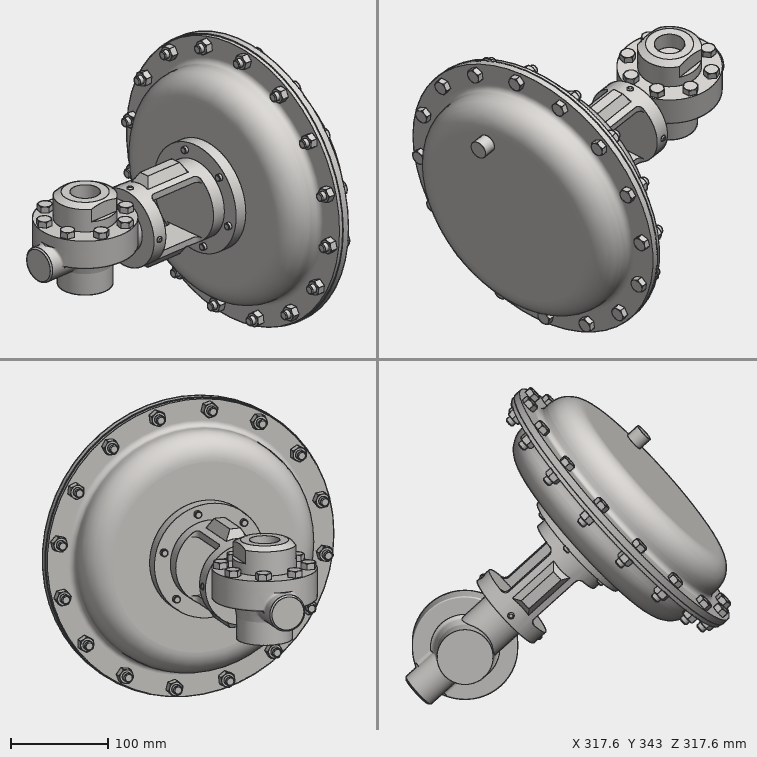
import cadquery as cq
import math


case_outer_end = 262.0
cover_flange_back = 222.5
gasket_back = 217.8
case_split = 215.0
case_flange_front = 210.5
case_inner_end = 170.5
dome_radius = 128.5
dome_round = 27.5
dome_root_round = 6.2
cover_flange_radius = 158.8
case_flange_radius = 157.8

case_bolt_count = 16
case_bolt_circle = 147.5
case_bolt_phase = 15.0
case_hex_flats = 14.5
case_head_turn = 22.5
case_nut_turn = -7.5
case_head_height = 7.0
case_nut_height = 8.2
stud_diameter = 9.5
stud_length = 6.2
stud_chamfer = 1.0
hex_chamfer = 1.0

air_stub_diameter = 19.2
air_stub_x = 28.5
air_stub_z = 84.5
air_stub_end = 276.5

plate_radius = 60.7
plate_front = 156.8
plate_screw_count = 6
plate_screw_circle = 52.5
plate_screw_phase = 45.0
plate_screw_diameter = 7.5
plate_screw_height = 4.0
plate_screw_chamfer = 0.7

yoke_radius = 43.2
yoke_front = 56.5
window_back = 141.3
window_front = 73.5
window_half_height = 31.2
leg_width = 38.8
leg_round = 6.0
rib_tip_z = 52.5
rib_tip_width = 11.5
rib_tip_length = 45.0
rib_height = 13.7
rib_draft = 30.0
rib_y = 106.5
collar_screw_count = 4
collar_screw_y = 64.0
collar_screw_diameter = 7.0
collar_screw_protrusion = 1.7
collar_screw_chamfer = 1.5

body_radius = 54.2
body_split_z = 19.2
body_bottom_round = 1.5
neck_radius = 25.7
plug_radius = 19.2
plug_end = -66.5
plug_chamfer = 1.7
plug_root_round = 2.5
plug_web_round = 4.5
outlet_radius = 28.8
outlet_bottom_z = -43.0
taper_bottom_z = -19.0
taper_top_z = -4.8
taper_top_radius = 31.5
taper_root_radius = 35.7

bonnet_top_z = 32.0
cap_radius = 33.0
cap_top_z = 61.7
cap_chamfer_height = 4.0
cap_top_radius = 24.7
cap_flats = 55.5
cap_flat_bottom_z = 43.2
port_diameter = 31.2
port_depth = 18.0
bonnet_bolt_count = 8
bonnet_bolt_circle = 45.0
bonnet_hex_flats = 14.5
bonnet_hex_turn = 22.5
bonnet_head_height = 7.0


def y_disc(radius, y_start, y_end, x=0, z=0):
    """Cylinder along Y between two Y positions."""
    base = cq.Workplane("XZ", origin=(x, y_start, z))
    return base.circle(radius).extrude(y_start - y_end)


def z_disc(radius, z_start, z_end):
    """Cylinder on the valve axis between two heights."""
    return cq.Workplane("XY").workplane(offset=z_start).circle(radius).extrude(z_end - z_start)


def bolt_angles(count, phase):
    """Evenly spaced angles around a full circle, starting at the phase."""
    return [phase + i * 360 / count for i in range(count)]


def rounded_hex(flats, height):
    """Hexagon along Z with one corner on +X, its upper corners turned down to a cone."""
    corner_radius = flats / 2 / math.cos(math.pi / 6)
    blank = cq.Workplane("XY").circle(corner_radius).extrude(height)
    cone = blank.faces(">Z").chamfer(hex_chamfer, corner_radius - flats / 2)
    return cq.Workplane("XY").polygon(6, 2 * corner_radius).extrude(height).intersect(cone)


def pin(diameter, length, chamfer):
    """Round pin along Z with a chamfered tip, as on screws and stud ends."""
    return cq.Workplane("XY").circle(diameter / 2).extrude(length).faces(">Z").chamfer(chamfer)


def facing_front(shape, y):
    """Turn a shape from +Z to -Y and stand it at the given Y."""
    return shape.rotate((0, 0, 0), (1, 0, 0), 90).translate((0, y, 0))


def facing_back(shape, y):
    """Turn a shape from +Z to +Y and stand it at the given Y."""
    return shape.rotate((0, 0, 0), (1, 0, 0), -90).translate((0, y, 0))


def half_case(joint_y, flange_y, end_y, flange_radius):
    """Domed half of the casing, from its joint face through its flange to its flat end."""
    toward = math.copysign(1, end_y - flange_y)
    bulge = math.sqrt(0.5)
    root_y = flange_y + toward * dome_root_round
    root_mid = dome_root_round * (1 - bulge)
    crown_mid = dome_round * (1 - bulge)
    return (
        cq.Workplane("XY")
        .moveTo(0, joint_y)
        .lineTo(flange_radius, joint_y)
        .lineTo(flange_radius, flange_y)
        .lineTo(dome_radius + dome_root_round, flange_y)
        .threePointArc((dome_radius + root_mid, flange_y + toward * root_mid), (dome_radius, root_y))
        .lineTo(dome_radius, end_y - toward * dome_round)
        .threePointArc((dome_radius - crown_mid, end_y - toward * crown_mid), (dome_radius - dome_round, end_y))
        .lineTo(0, end_y)
        .close()
        .revolve(360, (0, 0, 0), (0, 1, 0))
    )


def casing():
    """Cover, gasket, inner case and air connection."""
    cover = half_case(gasket_back, cover_flange_back, case_outer_end, cover_flange_radius)
    gasket = y_disc(cover_flange_radius, gasket_back, case_split)
    case = half_case(case_split, case_flange_front, case_inner_end, case_flange_radius)
    air_stub = y_disc(air_stub_diameter / 2, case_outer_end, air_stub_end, air_stub_x, air_stub_z)
    return [cover, gasket, case, air_stub]


def casing_bolts():
    """Bolt heads on the cover flange, nuts and stud ends on the case flange."""
    head = rounded_hex(case_hex_flats, case_head_height).rotate((0, 0, 0), (0, 0, 1), -case_head_turn)
    nut = rounded_hex(case_hex_flats, case_nut_height).rotate((0, 0, 0), (0, 0, 1), case_nut_turn)
    nut = nut.union(pin(stud_diameter, case_nut_height + stud_length, stud_chamfer))
    pieces = [facing_back(head, cover_flange_back), facing_front(nut, case_flange_front)]
    return [
        piece.translate((case_bolt_circle, 0, 0)).rotate((0, 0, 0), (0, 1, 0), -angle)
        for angle in bolt_angles(case_bolt_count, case_bolt_phase)
        for piece in pieces
    ]


def mounting_plate():
    """Round plate on the front of the casing with its ring of screw ends."""
    plate = y_disc(plate_radius, case_inner_end, plate_front)
    one_screw = facing_front(pin(plate_screw_diameter, plate_screw_height, plate_screw_chamfer), plate_front)
    one_screw = one_screw.translate((plate_screw_circle, 0, 0))
    for angle in bolt_angles(plate_screw_count, plate_screw_phase):
        plate = plate.union(one_screw.rotate((0, 0, 0), (0, 1, 0), -angle))
    return plate


def yoke():
    """Barrel opened from the sides to leave two ribbed legs, with screws in the front collar."""
    barrel = y_disc(yoke_radius, plate_front, yoke_front)
    length = window_back - window_front
    middle_y = (window_back + window_front) / 2
    opening = cq.Workplane("XY").box(2 * yoke_radius, length, 2 * window_half_height)
    barrel = barrel.cut(opening.translate((0, middle_y, 0)))
    for side in (-1, 1):
        beside_leg = cq.Workplane("XY").box(yoke_radius, length, 2 * yoke_radius).edges("|Z").fillet(leg_round)
        barrel = barrel.cut(beside_leg.translate((side * (leg_width + yoke_radius) / 2, middle_y, 0)))

    rib_growth = 2 * rib_height * math.tan(math.radians(rib_draft))
    rib = (
        cq.Workplane("XY", origin=(0, rib_y, rib_tip_z))
        .rect(rib_tip_width, rib_tip_length)
        .workplane(offset=-rib_height)
        .rect(rib_tip_width + rib_growth, rib_tip_length + rib_growth)
        .loft(ruled=True)
    )
    screw_length = yoke_radius + collar_screw_protrusion - window_half_height
    collar_screw = pin(collar_screw_diameter, screw_length, collar_screw_chamfer)
    collar_screw = collar_screw.translate((0, collar_screw_y, window_half_height))
    for angle in (0, 180):
        barrel = barrel.union(rib.rotate((0, 0, 0), (0, 1, 0), angle))
    for angle in bolt_angles(collar_screw_count, 0):
        barrel = barrel.union(collar_screw.rotate((0, 0, 0), (0, 1, 0), angle))
    return barrel


def outlet():
    """Lower port, widening upward and flaring into the underside of the body."""
    return (
        cq.Workplane("XZ")
        .moveTo(0, outlet_bottom_z)
        .lineTo(outlet_radius, outlet_bottom_z)
        .lineTo(outlet_radius, taper_bottom_z)
        .lineTo(taper_top_radius, taper_top_z)
        .tangentArcPoint((taper_root_radius, 0), relative=False)
        .lineTo(taper_root_radius, body_split_z)
        .lineTo(0, body_split_z)
        .close()
        .revolve(360, (0, 0, 0), (0, 1, 0))
    )


def plug_web():
    """Rounded corners between the sides of the plug and the underside of the body."""
    inner_x = math.sqrt(plug_radius**2 - plug_web_round**2)
    outer_x = inner_x + plug_web_round
    arc_mid = plug_web_round * (1 - math.sqrt(0.5))
    length = math.sqrt(body_radius**2 - outer_x**2) - body_bottom_round
    return (
        cq.Workplane("XZ")
        .moveTo(-outer_x, 0)
        .threePointArc((-inner_x - arc_mid, -arc_mid), (-inner_x, -plug_web_round))
        .lineTo(inner_x, -plug_web_round)
        .threePointArc((inner_x + arc_mid, -arc_mid), (outer_x, 0))
        .close()
        .extrude(length)
    )


def valve_body():
    """Bowl with its outlet, front plug and rear neck, cut flat at the bonnet joint."""
    bowl = z_disc(body_radius, 0, bonnet_top_z).faces("<Z").edges().fillet(body_bottom_round)
    plug = y_disc(plug_radius, 0, plug_end).faces("<Y").chamfer(plug_chamfer)
    neck = y_disc(neck_radius, yoke_front, 0)
    body = bowl.union(outlet()).union(plug)
    select_margin = 0.5
    reach = plug_radius + select_margin
    plug_root = cq.selectors.BoxSelector(
        (-reach, -body_radius - select_margin, -reach), (reach, 0, reach), boundingbox=True
    )
    body = body.edges(plug_root).fillet(plug_root_round)
    body = body.union(neck).union(plug_web())
    return body.cut(z_disc(2 * body_radius, body_split_z, cap_top_z))


def bonnet():
    """Bolted cover flange with a flatted, bored cap."""
    flange = z_disc(body_radius, body_split_z, bonnet_top_z)
    cap = z_disc(cap_radius, bonnet_top_z, cap_top_z)
    cap = cap.faces(">Z").chamfer(cap_chamfer_height, cap_radius - cap_top_radius)
    flat_height = cap_top_z - cap_flat_bottom_z
    flat_z = cap_flat_bottom_z + flat_height / 2
    for side in (-1, 1):
        flat = cq.Workplane("XY").box(cap_radius, 2 * cap_radius, flat_height)
        cap = cap.cut(flat.translate((side * (cap_flats + cap_radius) / 2, 0, flat_z)))
    bonnet_shape = flange.union(cap).cut(z_disc(port_diameter / 2, cap_top_z - port_depth, cap_top_z))

    head = rounded_hex(bonnet_hex_flats, bonnet_head_height).rotate((0, 0, 0), (0, 0, 1), bonnet_hex_turn)
    head = head.translate((bonnet_bolt_circle, 0, bonnet_top_z))
    for angle in bolt_angles(bonnet_bolt_count, 180 / bonnet_bolt_count):
        bonnet_shape = bonnet_shape.union(head.rotate((0, 0, 0), (0, 0, 1), angle))
    return bonnet_shape


parts = casing() + casing_bolts() + [mounting_plate(), yoke(), valve_body(), bonnet()]
solids = [part.val() for part in parts]
result = cq.Workplane(solids[0].fuse(*solids[1:])).solids()